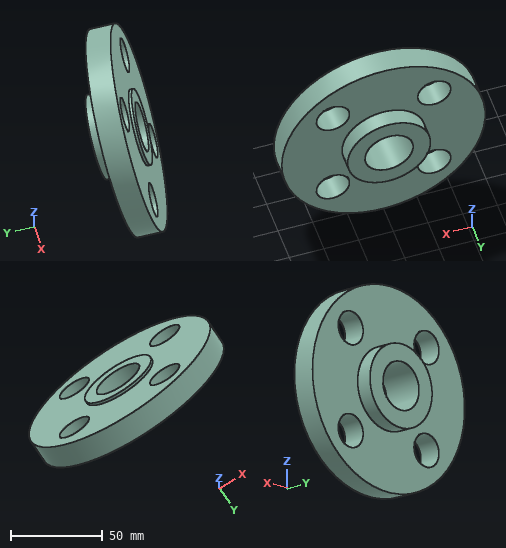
import cadquery as cq

flange_diameter = 117.4
flange_thickness = 14.2

face_diameter = 43.0
face_height = 1.6

total_length = 25.5
hub_diameter = 47.8
hub_length = total_length - flange_thickness - face_height

bore_diameter = 27.7
bolt_hole_diameter = 19.0
bolt_circle_diameter = 82.5
bolt_count = 4
first_bolt_angle = 360 / bolt_count / 2


def cylinder_along_y(diameter, y_start, length):
    """Cylinder centred on the Y axis, running toward +Y from y_start."""
    return cq.Workplane("XZ", origin=(0, y_start, 0)).circle(diameter / 2).extrude(-length)


def bolt_holes():
    """Evenly spaced cutters that pass through the flange disc."""
    return (
        cq.Workplane("XZ")
        .polarArray(bolt_circle_diameter / 2, first_bolt_angle, 360, bolt_count)
        .circle(bolt_hole_diameter / 2)
        .extrude(-flange_thickness)
    )


flange = cylinder_along_y(flange_diameter, 0, flange_thickness)
raised_face = cylinder_along_y(face_diameter, -face_height, face_height)
hub = cylinder_along_y(hub_diameter, flange_thickness, hub_length)
bore = cylinder_along_y(bore_diameter, -face_height, total_length)

result = flange.union(raised_face).union(hub).cut(bore).cut(bolt_holes())